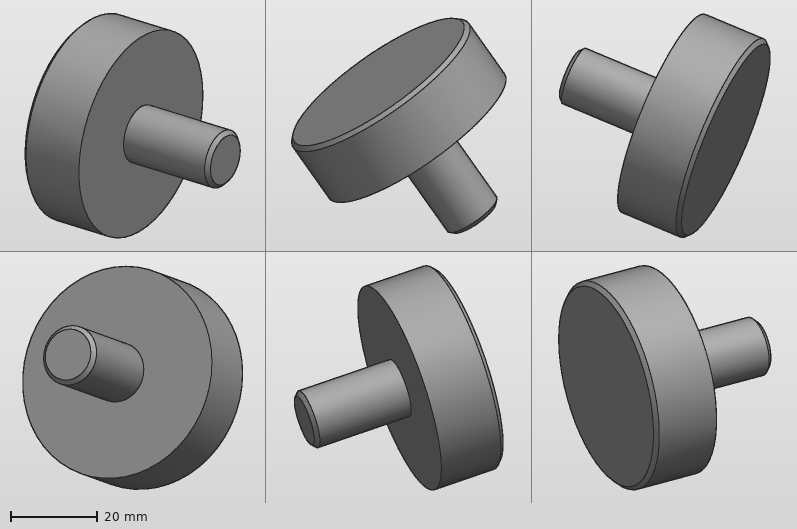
import cadquery as cq

head_diameter = 50.0
head_thickness = 16.0
total_length = 40.0
stem_diameter = 14.0
chamfer_size = 1.0

stem_length = total_length - head_thickness

head = (
    cq.Workplane("YZ")
    .circle(head_diameter / 2)
    .extrude(head_thickness)
    .faces("<X")
    .chamfer(chamfer_size)
)

stem = (
    cq.Workplane("YZ", origin=(head_thickness, 0, 0))
    .circle(stem_diameter / 2)
    .extrude(stem_length)
    .faces(">X")
    .chamfer(chamfer_size)
)

result = head.union(stem)